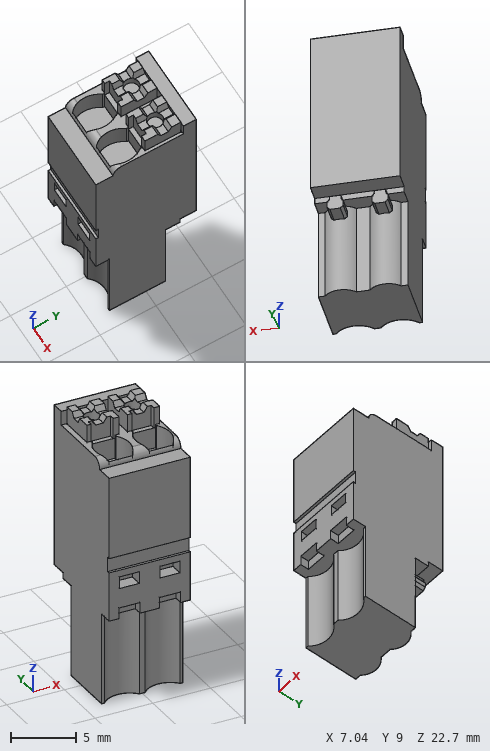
import cadquery as cq
import math


width = 7.04
depth = 9.0
total_height = 22.7
front_y = -depth / 2
back_y = depth / 2

pole_pitch = 3.52
lower_pole_xs = [-pole_pitch / 2, pole_pitch / 2]
upper_shift = 0.11
upper_pole_xs = [x + upper_shift for x in lower_pole_xs]

wall_top_z = 22.4
wall_front_y = 3.34
deck_z = 21.2
shoulder_z = 20.43
shoulder_radius = deck_z - shoulder_z
shoulder_y = -2.95
band_top_z = 13.37
band_bottom_z = 12.12
band_depth = 0.23
skirt_z = 7.88
back_step_z = 8.38
back_step_y = 3.05

plug_front_y = -3.27
plug_back_y = 2.3
plug_side_back_y = 1.75
barrel_width = 2.45
scallop_width = 3.02
scallop_depth = 0.7

rail_back_y = 3.7
rail_neck_half_width = 0.45
rail_body_half_width = 0.64
rail_shoulder_z = 7.65
rail_body_top_z = 7.35
rail_chamfer_z = 6.9
rail_chamfer = 0.23

window_width = 1.7
window_bottom_z = 10.5
window_top_z = 11.53
window_depth = 1.14
notch_width = 1.85
notch_top_z = 8.8
notch_depth = 0.77

entry_width = 2.95
entry_flat_width = 2.05
entry_front_y = -2.84
entry_flank_length = 0.18
entry_floor_z = 19.15

button_width = 2.8
button_front_y = 0.05
button_back_y = 3.27
button_bottom_z = 20.93
relief_width = 1.9
relief_depth = 0.43
relief_shift = -0.07
slot_top_width = 1.25
slot_floor_width = 0.65
slot_depth = 0.45
bore_radius = 0.65
bore_y = 1.82
bore_depth = 1.14


def box(x_range, y_range, z_range):
    """Axis-aligned box given by its limits along each axis."""
    (x0, x1), (y0, y1), (z0, z1) = x_range, y_range, z_range
    return cq.Workplane("XY").box(x1 - x0, y1 - y0, z1 - z0, centered=False).translate((x0, y0, z0))


def centred(middle, size):
    """Limits of a span of the given size about its middle."""
    return (middle - size / 2, middle + size / 2)


def upper_housing():
    """Stepped side outline, carried across the whole width."""
    arc_start_y = shoulder_y + shoulder_radius
    arc_rise = shoulder_radius * math.sqrt(0.5)
    outline = (
        cq.Workplane("YZ")
        .moveTo(front_y, skirt_z)
        .lineTo(back_step_y, skirt_z)
        .lineTo(back_step_y, back_step_z)
        .lineTo(back_y, back_step_z)
        .lineTo(back_y, wall_top_z)
        .lineTo(wall_front_y, wall_top_z)
        .lineTo(wall_front_y, deck_z)
        .lineTo(arc_start_y, deck_z)
        .threePointArc((arc_start_y - arc_rise, shoulder_z + arc_rise), (shoulder_y, shoulder_z))
        .lineTo(front_y, shoulder_z)
        .lineTo(front_y, band_top_z)
        .lineTo(front_y + band_depth, band_top_z)
        .lineTo(front_y + band_depth, band_bottom_z)
        .lineTo(front_y, band_bottom_z)
        .close()
    )
    return outline.extrude(width / 2, both=True)


def plug():
    """Lower block: concave scallops at the front, one convex barrel per pole at the back."""
    outline = cq.Workplane("XY").moveTo(-width / 2, plug_front_y)
    for x in lower_pole_xs:
        scallop_start, scallop_end = centred(x, scallop_width)
        outline = outline.lineTo(scallop_start, plug_front_y).threePointArc(
            (x, plug_front_y + scallop_depth), (scallop_end, plug_front_y)
        )
    outline = outline.lineTo(width / 2, plug_front_y).lineTo(width / 2, plug_side_back_y)
    for x in reversed(lower_pole_xs):
        barrel_end, barrel_start = centred(x, barrel_width)
        outline = outline.lineTo(barrel_start, plug_side_back_y).threePointArc(
            (x, plug_back_y), (barrel_end, plug_side_back_y)
        )
    return outline.lineTo(-width / 2, plug_side_back_y).close().extrude(skirt_z)


def coding_rail(x):
    """Rail along Y under the housing: narrow neck, sloped shoulders and chamfered lower edges."""
    right_side = [
        (rail_neck_half_width, skirt_z),
        (rail_neck_half_width, rail_shoulder_z),
        (rail_body_half_width, rail_body_top_z),
        (rail_body_half_width, rail_chamfer_z),
        (rail_body_half_width - rail_chamfer, rail_chamfer_z - rail_chamfer),
    ]
    left_side = [(-half_width, z) for half_width, z in reversed(right_side)]
    rail = cq.Workplane("XZ").polyline(right_side + left_side).close().extrude(-rail_back_y)
    return rail.translate((x, 0, 0))


def window(x):
    """Blind rectangular window in the front face."""
    return box(
        centred(x, window_width),
        (front_y, front_y + window_depth),
        (window_bottom_z, window_top_z),
    )


def skirt_notch(x):
    """Notch in the lower edge of the front face."""
    return box(centred(x, notch_width), (front_y, front_y + notch_depth), (skirt_z, notch_top_z))


def wire_entry(x):
    """Blind entry with flat front and back ends and bowed sides."""
    flat = entry_flat_width / 2
    bow = entry_width / 2
    flank_y = button_front_y - entry_flank_length
    middle_y = (flank_y + entry_front_y) / 2
    outline = (
        cq.Workplane("XY")
        .moveTo(x - flat, button_front_y)
        .lineTo(x - flat, flank_y)
        .threePointArc((x - bow, middle_y), (x - flat, entry_front_y))
        .lineTo(x + flat, entry_front_y)
        .threePointArc((x + bow, middle_y), (x + flat, flank_y))
        .lineTo(x + flat, button_front_y)
        .close()
    )
    return outline.extrude(total_height - entry_floor_z).translate((0, 0, entry_floor_z))


def button_block(x):
    """Plain block that fills the button's seat in the housing."""
    return box(
        centred(x, button_width),
        (button_front_y, button_back_y),
        (button_bottom_z, total_height),
    )


def slot_profile(plane):
    """Tapered slot section about the plane's origin, opening at the top of the button."""
    floor_z = total_height - slot_depth
    return (
        cq.Workplane(plane)
        .moveTo(-slot_floor_width / 2, floor_z)
        .lineTo(slot_floor_width / 2, floor_z)
        .lineTo(slot_top_width / 2, total_height)
        .lineTo(-slot_top_width / 2, total_height)
        .close()
        .extrude(depth, both=True)
    )


def make_housing():
    housing = upper_housing().union(plug())
    for x in lower_pole_xs:
        housing = housing.union(coding_rail(x)).cut(window(x)).cut(skirt_notch(x))
    for x in upper_pole_xs:
        housing = housing.cut(wire_entry(x)).cut(button_block(x))
    return housing


def make_button(x):
    """Push button with a crossed pair of slots, a central bore and a relief in its front face."""
    slot_x = x + relief_shift
    relief = box(
        centred(slot_x, relief_width),
        (button_front_y, button_front_y + relief_depth),
        (button_bottom_z, total_height),
    )
    bore = (
        cq.Workplane("XY", origin=(x, bore_y, total_height - bore_depth))
        .circle(bore_radius)
        .extrude(bore_depth)
    )
    lengthwise_slot = slot_profile("XZ").translate((slot_x, 0, 0))
    crosswise_slot = slot_profile("YZ").translate((0, bore_y, 0))
    return button_block(x).cut(relief).cut(lengthwise_slot).cut(crosswise_slot).cut(bore)


housing = make_housing()
buttons = [make_button(x) for x in upper_pole_xs]

result = cq.Compound.makeCompound([housing.val(), *[button.val() for button in buttons]])